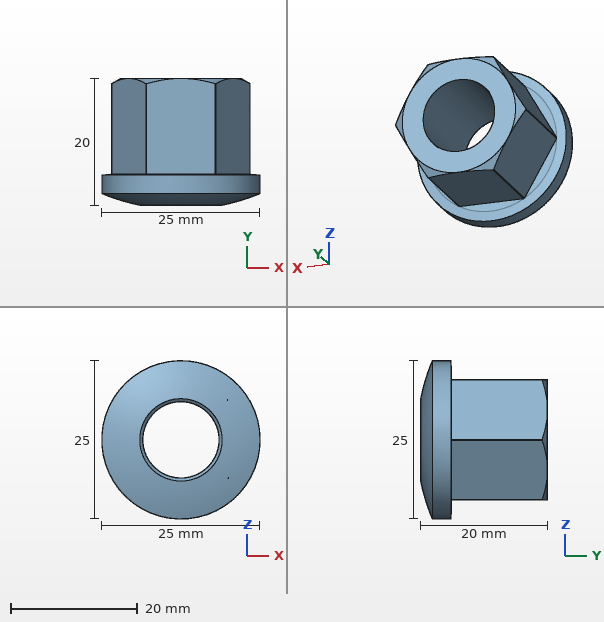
import cadquery as cq
import math

height = 20.0
across_flats = 19.0
body_diameter = 21.85
corner_chamfer_angle = 30.0

flange_diameter = 25.0
flange_thickness = 4.9
flange_back_angle = 5.0
seat_depth = 1.85
seat_radius = 32.0

bore_diameter = 12.0
countersink_depth = 0.5

bore_radius = bore_diameter / 2
countersink_radius = bore_radius + countersink_depth
body_radius = body_diameter / 2
flange_radius = flange_diameter / 2


def slope_drop(run, angle):
    """Axial fall of a cone over a radial run, at an angle from the radial plane."""
    return run * math.tan(math.radians(angle))


def revolve_about_nut_axis(profile):
    """Close a profile drawn in the XY plane and revolve it about the Y axis."""
    return profile.close().revolve(360, (0, 0, 0), (0, 1, 0))


def make_hexagon():
    """Hexagonal body with flats facing +Z and -Z, turned edges and a chamfered end."""
    across_corners = across_flats / math.cos(math.radians(30))
    prism = (
        cq.Workplane("XZ", origin=(0, seat_depth, 0))
        .polygon(6, across_corners)
        .extrude(seat_depth - height)
    )
    chamfer_radius = across_flats / 2
    chamfer_drop = slope_drop(body_radius - chamfer_radius, corner_chamfer_angle)
    turned_envelope = revolve_about_nut_axis(
        cq.Workplane("XY")
        .lineTo(body_radius, 0)
        .lineTo(body_radius, height - chamfer_drop)
        .lineTo(chamfer_radius, height)
        .lineTo(0, height)
    )
    return prism.intersect(turned_envelope)


def make_flange():
    """Round flange with a domed front and a conical back."""
    back_drop = slope_drop(flange_radius - body_radius, flange_back_angle)
    return revolve_about_nut_axis(
        cq.Workplane("XY")
        .lineTo(countersink_radius, 0)
        .radiusArc((flange_radius, seat_depth), -seat_radius)
        .lineTo(flange_radius, flange_thickness - back_drop)
        .lineTo(body_radius, flange_thickness)
        .lineTo(0, flange_thickness)
    )


def make_bore():
    """Through bore with the countersink at the seat face."""
    return revolve_about_nut_axis(
        cq.Workplane("XY")
        .lineTo(countersink_radius, 0)
        .lineTo(bore_radius, countersink_depth)
        .lineTo(bore_radius, height)
        .lineTo(0, height)
    )


result = make_hexagon().union(make_flange()).cut(make_bore())